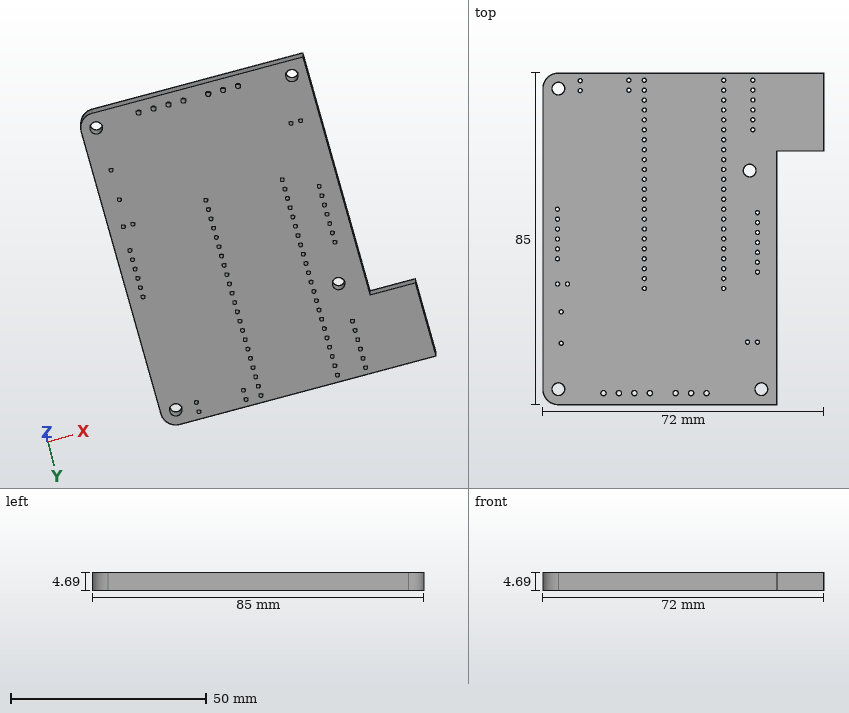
import cadquery as cq

overall_width = 72.0
overall_depth = 85.0
thickness = 4.69
main_width = 60.0
tab_depth = 20.0
corner_radius = 4.0

mount_diameter = 3.2
mount_inset = 4.0
inner_mount = (53.0, 60.0)

pin_diameter = 1.0
pin_pitch = 2.54

socket_pins = 22
socket_left_x = 26.02
socket_row_spacing = 8 * pin_pitch
socket_bottom_y = 29.8

column_headers = [
    (socket_left_x, socket_bottom_y, socket_pins),
    (socket_left_x + socket_row_spacing, socket_bottom_y, socket_pins),
    (3.77, 37.4, 6),
    (55.0, 33.98, 7),
    (53.83, 70.46, 6),
    (9.58, 80.5, 2),
    (22.07, 80.6, 2),
]

row_pairs = [
    (3.8, 30.95),
    (52.45, 16.05),
]

lead_x = 4.72
lead_positions_y = [15.75, 23.8]

terminal_diameter = 1.3
terminal_pitch = 3.96
terminal_y = 3.0
terminal_rows = [
    (15.55, 4),
    (34.03, 3),
]


def make_plate():
    """L-shaped plate with a tab at the back right and rounded left corners."""
    main = cq.Workplane("XY").box(main_width, overall_depth, thickness, centered=False)
    main = main.edges("|Z and <X").fillet(corner_radius)
    tab_start_x = main_width / 2
    tab = (
        cq.Workplane("XY")
        .box(overall_width - tab_start_x, tab_depth, thickness, centered=False)
        .translate((tab_start_x, overall_depth - tab_depth, 0))
    )
    return main.union(tab).clean()


def column(x, bottom_y, count):
    """Pin positions going up along Y."""
    return [(x, bottom_y + i * pin_pitch) for i in range(count)]


def row(left_x, y, count, pitch):
    """Hole positions going right along X."""
    return [(left_x + i * pitch, y) for i in range(count)]


def mount_points():
    """Three corner mounting holes and the one set in below the tab."""
    return [
        (mount_inset, mount_inset),
        (mount_inset, overall_depth - mount_inset),
        (main_width - mount_inset, mount_inset),
        inner_mount,
    ]


def pin_points():
    """All small pin holes of headers, pairs and leads."""
    points = [(lead_x, y) for y in lead_positions_y]
    for x, bottom_y, count in column_headers:
        points += column(x, bottom_y, count)
    for left_x, y in row_pairs:
        points += row(left_x, y, 2, pin_pitch)
    return points


def terminal_points():
    """Holes of the screw terminals."""
    points = []
    for first_x, count in terminal_rows:
        points += row(first_x, terminal_y, count, terminal_pitch)
    return points


def drill(body, points, diameter):
    """Cut round through holes at the given positions."""
    drills = cq.Workplane("XY").pushPoints(points).circle(diameter / 2).extrude(thickness)
    return body.cut(drills)


result = make_plate()
result = drill(result, mount_points(), mount_diameter)
result = drill(result, pin_points(), pin_diameter)
result = drill(result, terminal_points(), terminal_diameter)